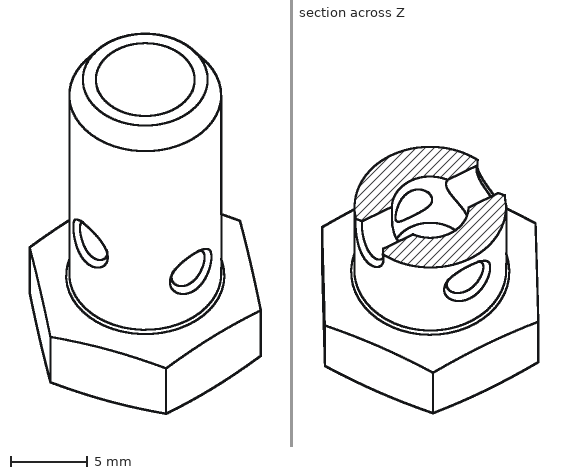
import cadquery as cq
import math

across_flats = 14.0
across_corners = across_flats / math.cos(math.pi / 6)
head_height = 5.0
corner_angle = math.radians(15)

total_height = 24
shank_diameter = 9.95
tip_diameter = 8.18
tip_height = 1.5
collar_diameter = 10.37
collar_height = 0.2

mouth_diameter = 6.48
bore_diameter = 5.0
mouth_depth = 5.0
bore_floor = 7.0
drill_half_angle = math.radians(59)

cross_diameter = 2.8
cross_bevel = 0.38
cross_hole_y_height = 11.5
cross_hole_x_height = 9.5


def revolve_profile(points):
    """Turn a (radius, height) outline around the Z axis."""
    return cq.Workplane("XZ").polyline(points).close().revolve(360, (0, 0, 0), (0, 1, 0))


def make_head():
    flat_radius = across_flats / 2
    corner_radius = across_corners / 2
    bevel_drop = (corner_radius - flat_radius) * math.tan(corner_angle)
    prism = (
        cq.Workplane("XY")
        .polygon(6, across_corners)
        .extrude(head_height)
        .rotate((0, 0, 0), (0, 0, 1), 30)
    )
    envelope = revolve_profile([
        (0, 0),
        (flat_radius, 0),
        (corner_radius, bevel_drop),
        (corner_radius, head_height - bevel_drop),
        (flat_radius, head_height),
        (0, head_height),
    ])
    return prism.intersect(envelope)


def make_shank():
    return revolve_profile([
        (0, head_height / 2),
        (collar_diameter / 2, head_height / 2),
        (collar_diameter / 2, head_height),
        (shank_diameter / 2, head_height + collar_height),
        (shank_diameter / 2, total_height - tip_height),
        (tip_diameter / 2, total_height),
        (0, total_height),
    ])


def make_bore():
    bore_radius = bore_diameter / 2
    return revolve_profile([
        (0, bore_floor - bore_radius / math.tan(drill_half_angle)),
        (bore_radius, bore_floor),
        (bore_radius, total_height - mouth_depth),
        (mouth_diameter / 2, total_height),
        (0, total_height),
    ])


def drill_cross_hole(shank, plane, height):
    """Drill right through the solid shank and bevel both rims of the hole."""
    drill = (
        cq.Workplane(plane)
        .center(0, height)
        .circle(cross_diameter / 2)
        .extrude(shank_diameter, both=True)
    )
    drilled = shank.cut(drill)
    box_width = cross_diameter + 2 * cross_bevel
    rim_box = (
        cq.Workplane(plane)
        .center(0, height)
        .rect(box_width, box_width)
        .extrude(shank_diameter, both=True)
    )
    bounds = rim_box.val().BoundingBox()
    rims = drilled.edges(cq.selectors.BoxSelector(
        (bounds.xmin, bounds.ymin, bounds.zmin),
        (bounds.xmax, bounds.ymax, bounds.zmax),
        boundingbox=True,
    ))
    return rims.chamfer(cross_bevel)


shank = make_shank()
shank = drill_cross_hole(shank, "XZ", cross_hole_y_height)
shank = drill_cross_hole(shank, "YZ", cross_hole_x_height)

result = make_head().union(shank).cut(make_bore())